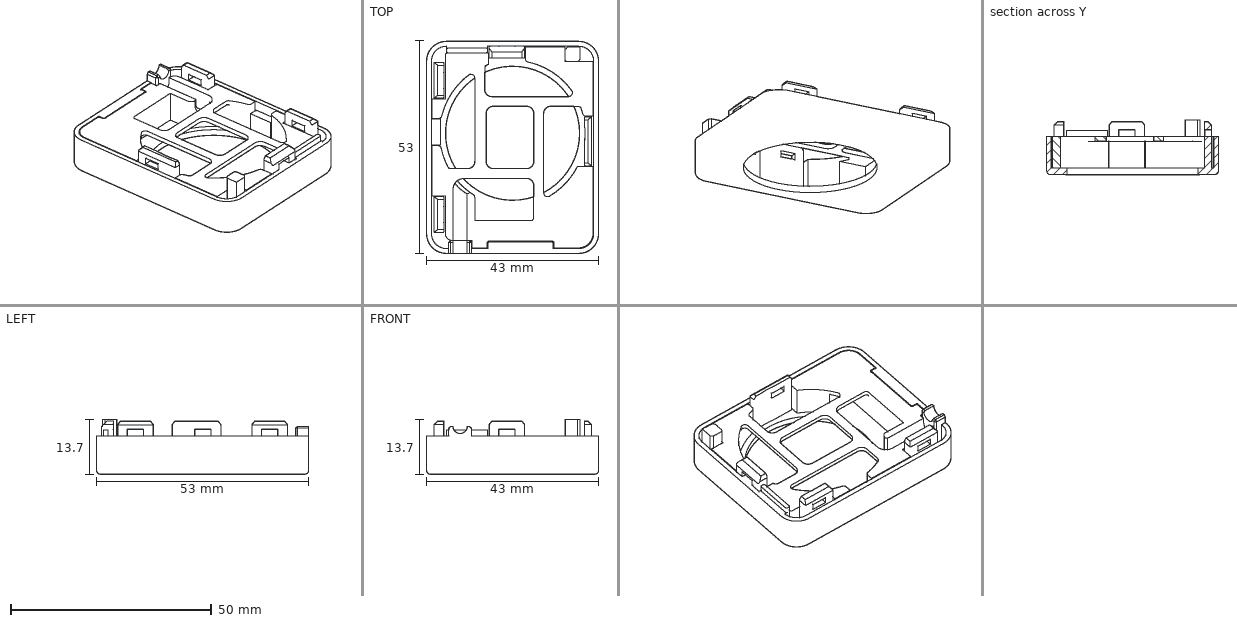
import cadquery as cq
import math

LENGTH_X = 43.0
LENGTH_Y = 53.0
RIM_Z = 9.57
WALL = 1.25
FLOOR_Z = 1.7
CORNER_RADIUS = 5.0
BOTTOM_ROUND = 1.0
HALF_X = LENGTH_X / 2
HALF_Y = LENGTH_Y / 2
CAVITY_HALF_X = HALF_X - WALL
CAVITY_HALF_Y = HALF_Y - WALL

CENTRE_Y = 3.53
HOLE_RADIUS = 16.7
POCKET_RADIUS = 18.2

TAB_TOP_Z = 13.3
TAB_LENGTH = 8.9
TAB_THICKNESS = 2.5
TAB_EDGE_ROUND = 0.25
TAB_BEVEL_OUT = 0.95
BACK_TAB_BEVEL_OUT = 1.4
TAB_BEVEL_END = 0.7
TAB_BEVEL_END_HEIGHT = 0.9
WINDOW_LENGTH = 4.0
WINDOW_TOP_Z = 11.2
SIDE_TAB_Y = 16.75
SIDE_TAB_INNER_X = -17.15
BACK_TAB_X = -1.43
BACK_TAB_INNER_Y = 22.27
RIGHT_TAB_INNER_X = 17.95
RIGHT_TAB_THICKNESS = 1.8
RIGHT_TAB_Y_MIN = -4.6
RIGHT_TAB_Y_MAX = 7.6
RIGHT_WINDOW_Y = -0.1
TAB_SCOOP_RADIUS = 18.08

BACK_RIB_X_MIN = -16.5
BACK_RIB_X_MAX = -6.2
BACK_RIB_INNER_Y = 23.6
BACK_RIB_OUTER_Y = 24.78
BACK_RIB_TOP_Z = 11.1
BACK_RIB_ROUND = 0.4
FRONT_PAD_X_MIN = -6.15
FRONT_PAD_X_MAX = 10.15
FRONT_PAD_DEPTH = 2.9
FRONT_PAD_ROUND = 0.4
LEFT_PAD_Y_MIN = 0.6
LEFT_PAD_Y_MAX = 7.05
LEFT_PAD_INNER_X = -18.05
LEFT_PAD_TOP_Z = 7.0
CABLE_X = -13.1
CABLE_RADIUS = 1.76
BLOCK_WIDTH = 5.7
BLOCK_DEPTH = 3.25
BLOCK_TOP_Z = 11.95
BLOCK_BEVEL = 0.45

PIN_X_MIN = 13.1
PIN_X_MAX = 16.85
PIN_FRONT_Y = 21.4
PIN_TOP_Z = 13.68
PIN_BACK_Y = 25.0
PIN_ROUND = 0.6

GAP = 0.18
GRID_THICKNESS = 1.2
BAR_LEFT = (-9.44, -6.57)
BAR_RIGHT = (5.27, 7.78)
BAR_BACK = (10.23, 12.70)
BAR_FRONT = (-7.77, -5.26)
BACK_OPENING_X = -6.93
FRONT_OPENING_Y = -18.3
GRID_ROUND = 1.75
TIP_ROUND = 0.95
SLOT_ROUND = 0.8
CORNER_CUT_X = -16.8
FRONT_CORNER_ROUND = 1.8
CHANNEL_WALL_HEIGHT = 1.5
CHANNEL_AXIS_Z = RIM_Z - CHANNEL_WALL_HEIGHT
CHANNEL_END_ROUND = 2.7
CHANNEL_BEVEL = 0.9
FRONT_POCKET_X = 11.0
CORNER_CUT_ROUND = 0.6
MID_Z = (FLOOR_Z + RIM_Z) / 2


def box(x_min, x_max, y_min, y_max, z_min, z_max):
    """Box given by its two limits along each axis."""
    block = cq.Workplane("XY").box(x_max - x_min, y_max - y_min, z_max - z_min, centered=False)
    return block.translate((x_min, y_min, z_min))


def pocket_cylinder(radius, z_min, z_max):
    """Upright cylinder on the axis of the round pocket."""
    return cq.Workplane("XY", origin=(0, CENTRE_Y, z_min)).circle(radius).extrude(z_max - z_min)


def round_upright(body, x, y, radius):
    """Round the upright edge that is nearest to (x, y)."""
    nearest = cq.selectors.NearestToPointSelector((x, y, MID_Z))
    return body.edges("|Z").edges(nearest).fillet(radius)


def pocket_y(x):
    """Distance from the pocket axis, along Y, of the pocket wall at x."""
    return math.sqrt(POCKET_RADIUS**2 - x**2)


def pocket_x(y):
    """Distance from the pocket axis, along X, of the pocket wall at y."""
    return math.sqrt(POCKET_RADIUS**2 - (y - CENTRE_Y) ** 2)


def make_tab(length, thickness, bevel_out, window_offset):
    """Tab along X, centred on X = 0, with its inner face at Y = 0 and its 45 degree bevel at +Y."""
    half = length / 2
    side = cq.Workplane("YZ", origin=(-half, 0, 0)).polyline([
        (0, FLOOR_Z),
        (thickness, FLOOR_Z),
        (thickness, TAB_TOP_Z - bevel_out),
        (thickness - bevel_out, TAB_TOP_Z),
        (0, TAB_TOP_Z),
    ]).close().extrude(length)
    face = cq.Workplane("XZ").polyline([
        (-half, FLOOR_Z),
        (half, FLOOR_Z),
        (half, TAB_TOP_Z - TAB_BEVEL_END_HEIGHT),
        (half - TAB_BEVEL_END, TAB_TOP_Z),
        (-half + TAB_BEVEL_END, TAB_TOP_Z),
        (-half, TAB_TOP_Z - TAB_BEVEL_END_HEIGHT),
    ]).close().extrude(-thickness)
    window = box(
        window_offset - WINDOW_LENGTH / 2, window_offset + WINDOW_LENGTH / 2,
        0, thickness, RIM_Z, WINDOW_TOP_Z,
    )
    wall = box(-half, half, 0, thickness, FLOOR_Z, TAB_TOP_Z).edges("|Z").fillet(TAB_EDGE_ROUND)
    return wall.intersect(side).intersect(face).cut(window)


def make_tabs():
    """Two tabs on the left, one at the back and one on the right that is hollowed along the round pocket."""
    side_tab = make_tab(TAB_LENGTH, TAB_THICKNESS, TAB_BEVEL_OUT, 0).rotate((0, 0, 0), (0, 0, 1), 90)
    tabs = [side_tab.translate((SIDE_TAB_INNER_X, y, 0)) for y in (-SIDE_TAB_Y, SIDE_TAB_Y)]
    back_tab = make_tab(TAB_LENGTH, CAVITY_HALF_Y - BACK_TAB_INNER_Y, BACK_TAB_BEVEL_OUT, 0)
    tabs.append(back_tab.translate((BACK_TAB_X, BACK_TAB_INNER_Y, 0)))
    right_y = (RIGHT_TAB_Y_MIN + RIGHT_TAB_Y_MAX) / 2
    right_length = RIGHT_TAB_Y_MAX - RIGHT_TAB_Y_MIN
    right_tab = make_tab(right_length, RIGHT_TAB_THICKNESS, TAB_BEVEL_OUT, right_y - RIGHT_WINDOW_Y)
    right_tab = right_tab.rotate((0, 0, 0), (0, 0, 1), -90).translate((RIGHT_TAB_INNER_X, right_y, 0))
    tabs.append(right_tab.cut(pocket_cylinder(TAB_SCOOP_RADIUS, FLOOR_Z, TAB_TOP_Z)))
    return tabs


def make_cable_block():
    """Block on the front wall with bevelled edges and a half-round groove along Y in its top."""
    front_y = -HALF_Y
    block = box(
        CABLE_X - BLOCK_WIDTH / 2, CABLE_X + BLOCK_WIDTH / 2,
        front_y, front_y + BLOCK_DEPTH, FLOOR_Z, BLOCK_TOP_Z,
    )
    block = block.edges("(|Y and >Z) or (|X and >Y and >Z) or (|Z and >Y)").chamfer(BLOCK_BEVEL)
    groove = cq.Workplane("XZ", origin=(CABLE_X, front_y, BLOCK_TOP_Z)).circle(CABLE_RADIUS)
    return block.cut(groove.extrude(-BLOCK_DEPTH))


def make_housing():
    shell = cq.Workplane("XY").rect(LENGTH_X, LENGTH_Y).extrude(RIM_Z)
    shell = shell.edges("|Z").fillet(CORNER_RADIUS).faces("<Z").edges().fillet(BOTTOM_ROUND)
    cavity = cq.Workplane("XY", origin=(0, 0, FLOOR_Z)).rect(2 * CAVITY_HALF_X, 2 * CAVITY_HALF_Y)
    cavity = cavity.extrude(RIM_Z - FLOOR_Z).edges("|Z").fillet(CORNER_RADIUS - WALL)
    housing = shell.cut(cavity).cut(pocket_cylinder(HOLE_RADIUS, 0, FLOOR_Z))

    front_pad = box(
        FRONT_PAD_X_MIN, FRONT_PAD_X_MAX, -HALF_Y + WALL / 2, -HALF_Y + FRONT_PAD_DEPTH, FLOOR_Z, RIM_Z
    ).edges("|Z and >Y").fillet(FRONT_PAD_ROUND)
    left_pad = box(
        -HALF_X + WALL / 2, LEFT_PAD_INNER_X, LEFT_PAD_Y_MIN, LEFT_PAD_Y_MAX, FLOOR_Z, LEFT_PAD_TOP_Z
    )
    back_rib = box(
        BACK_RIB_X_MIN, BACK_RIB_X_MAX, BACK_RIB_INNER_Y, BACK_RIB_OUTER_Y, FLOOR_Z, BACK_RIB_TOP_Z
    ).edges("|Z").fillet(BACK_RIB_ROUND)
    back_pad_y = BACK_RIB_OUTER_Y - BACK_RIB_ROUND
    back_pad = box(BACK_RIB_X_MIN, BACK_RIB_X_MAX, back_pad_y, HALF_Y - WALL / 2, FLOOR_Z, RIM_Z)
    for feature in (front_pad, left_pad, back_rib, back_pad, make_cable_block(), *make_tabs()):
        housing = housing.union(feature)
    return housing


def make_pin():
    """Upright pin in the back right corner, with one rounded and two bevelled edges."""
    pin = box(PIN_X_MIN, PIN_X_MAX, PIN_FRONT_Y, PIN_BACK_Y, FLOOR_Z, PIN_TOP_Z)
    pin = round_upright(pin, PIN_X_MIN, PIN_FRONT_Y, PIN_ROUND)
    for x, y in ((PIN_X_MAX, PIN_FRONT_Y), (PIN_X_MIN, PIN_BACK_Y)):
        nearest = cq.selectors.NearestToPointSelector((x, y, (FLOOR_Z + PIN_TOP_Z) / 2))
        pin = pin.edges("|Z").edges(nearest).chamfer(PIN_ROUND)
    return pin


def opening_part(x_min, x_max, y_min, y_max):
    """Upright block limited by the round pocket."""
    return box(x_min, x_max, y_min, y_max, FLOOR_Z, RIM_Z).intersect(
        pocket_cylinder(POCKET_RADIUS, FLOOR_Z, RIM_Z)
    )


def slot(x_min, x_max, y_min, y_max):
    """Upright block through the whole height of the insert."""
    return box(x_min, x_max, y_min, y_max, FLOOR_Z, RIM_Z)


def make_centre_opening():
    opening = slot(BAR_LEFT[1], BAR_RIGHT[0], BAR_FRONT[1], BAR_BACK[0])
    return opening.edges("|Z").fillet(GRID_ROUND)


def make_left_opening():
    x_max = BAR_LEFT[0]
    y_min = BAR_FRONT[1]
    opening = opening_part(-HALF_X, x_max, y_min, HALF_Y)
    opening = round_upright(opening, x_max, y_min, GRID_ROUND)
    opening = round_upright(opening, x_max, CENTRE_Y + pocket_y(x_max), TIP_ROUND)
    opening = round_upright(opening, -pocket_x(y_min), y_min, TIP_ROUND)
    slot_ends = (LEFT_PAD_Y_MIN - GAP, LEFT_PAD_Y_MAX + GAP)
    opening = opening.union(slot(-HALF_X, x_max - GRID_ROUND, *slot_ends))
    for y in slot_ends:
        opening = round_upright(opening, -pocket_x(y), y, SLOT_ROUND)
    return opening


def make_back_opening():
    x_min = BACK_OPENING_X
    y_min = BAR_BACK[1]
    opening = opening_part(x_min, HALF_X, y_min, HALF_Y)
    opening = round_upright(opening, x_min, y_min, GRID_ROUND)
    opening = round_upright(opening, x_min, CENTRE_Y + pocket_y(x_min), TIP_ROUND)
    opening = round_upright(opening, pocket_x(y_min), y_min, TIP_ROUND)
    slot_x_min = BACK_TAB_X - TAB_LENGTH / 2 - GAP
    slot_x_max = BACK_TAB_X + TAB_LENGTH / 2 + GAP
    opening = opening.union(slot(slot_x_min, slot_x_max, y_min + GRID_ROUND, HALF_Y))
    return round_upright(opening, slot_x_max, CENTRE_Y + pocket_y(slot_x_max), SLOT_ROUND)


def make_right_opening():
    x_min = BAR_RIGHT[1]
    y_max = BAR_BACK[0]
    opening = opening_part(x_min, HALF_X, -HALF_Y, y_max)
    opening = round_upright(opening, x_min, y_max, GRID_ROUND)
    opening = round_upright(opening, x_min, CENTRE_Y - pocket_y(x_min), TIP_ROUND)
    opening = round_upright(opening, pocket_x(y_max), y_max, TIP_ROUND)
    slot_y_min = RIGHT_TAB_Y_MIN - GAP
    slot_y_max = RIGHT_TAB_Y_MAX + GAP
    opening = opening.union(slot(x_min + GRID_ROUND, HALF_X, slot_y_min, slot_y_max))
    return round_upright(opening, pocket_x(slot_y_max), slot_y_max, SLOT_ROUND)


def make_channel_mask():
    """Space right of the channel and in front of the grid, with a rounded outer corner."""
    x_min = CABLE_X - CABLE_RADIUS
    mask = slot(x_min, HALF_X, -HALF_Y, BAR_FRONT[0])
    return round_upright(mask, x_min, BAR_FRONT[0], CHANNEL_END_ROUND)


def make_front_opening():
    x_min = BAR_LEFT[0]
    x_max = BAR_RIGHT[0]
    y_max = BAR_FRONT[0]
    opening = opening_part(-HALF_X, x_max, -HALF_Y, y_max)
    opening = round_upright(opening, x_max, y_max, GRID_ROUND)
    lower = slot(x_min, x_max, FRONT_OPENING_Y, y_max - GRID_ROUND)
    opening = opening.union(round_upright(lower, x_max, FRONT_OPENING_Y, SLOT_ROUND))
    opening = round_upright(opening, x_min, CENTRE_Y - pocket_y(x_min), SLOT_ROUND)
    return opening.intersect(make_channel_mask())


def make_front_pocket():
    """Space under the grid that widens the front opening to the right."""
    top_z = RIM_Z - GRID_THICKNESS
    return box(BAR_RIGHT[0] - SLOT_ROUND, FRONT_POCKET_X, FRONT_OPENING_Y, BAR_FRONT[0], FLOOR_Z, top_z)


def make_cable_channel():
    """Round-bottomed channel along Y from the cable block to the pocket."""
    x_min = CABLE_X - CABLE_RADIUS
    x_max = CABLE_X + CABLE_RADIUS
    y_min = -HALF_Y
    y_max = BAR_FRONT[0]
    round_bottom = cq.Workplane("XZ", origin=(CABLE_X, y_min, CHANNEL_AXIS_Z)).circle(CABLE_RADIUS)
    profile = round_bottom.extrude(y_min - y_max)
    profile = profile.union(box(x_min, x_max, y_min, y_max, CHANNEL_AXIS_Z, RIM_Z))
    return profile.intersect(make_channel_mask())


def bevel_channel_end(insert):
    """Bevel the round bottom of the channel where it enters the pocket."""
    end_y = CENTRE_Y - pocket_y(CABLE_X)
    end_point = (CABLE_X, end_y, CHANNEL_AXIS_Z - CABLE_RADIUS)
    return insert.edges(cq.selectors.NearestToPointSelector(end_point)).chamfer(CHANNEL_BEVEL)


def make_edge_cuts():
    """Cut-outs around the insert for the tabs, the rib, the pin, the pad and the cable block."""
    tab_end = SIDE_TAB_Y - TAB_LENGTH / 2 - GAP
    block_back_y = -HALF_Y + BLOCK_DEPTH
    block_x_max = CABLE_X + BLOCK_WIDTH / 2
    front_left = slot(-HALF_X, CORNER_CUT_X, -HALF_Y, -tab_end).union(
        slot(-HALF_X, CABLE_X, -HALF_Y, block_back_y)
    )
    back_left = slot(-HALF_X, CORNER_CUT_X, tab_end, HALF_Y).union(
        slot(-HALF_X, BACK_TAB_X, BACK_RIB_INNER_Y, HALF_Y)
    )
    return [
        round_upright(back_left, CORNER_CUT_X, BACK_RIB_INNER_Y, CORNER_CUT_ROUND),
        slot(PIN_X_MIN, HALF_X, PIN_FRONT_Y, HALF_Y),
        round_upright(front_left, CORNER_CUT_X, block_back_y, FRONT_CORNER_ROUND),
        slot(CABLE_X, block_x_max + GAP, -HALF_Y, block_back_y),
        slot(
            FRONT_PAD_X_MIN - GAP, FRONT_PAD_X_MAX + GAP, -HALF_Y, -HALF_Y + FRONT_PAD_DEPTH + GAP
        ).edges("|Z and >Y").fillet(FRONT_PAD_ROUND),
    ]


def make_insert():
    half_x = CAVITY_HALF_X - GAP
    half_y = CAVITY_HALF_Y - GAP
    insert = slot(-half_x, half_x, -half_y, half_y).edges("|Z").fillet(CORNER_RADIUS - WALL - GAP)
    insert = insert.cut(pocket_cylinder(POCKET_RADIUS, FLOOR_Z, RIM_Z - GRID_THICKNESS))
    cuts = [
        make_centre_opening(), make_left_opening(), make_back_opening(), make_right_opening(),
        make_front_opening(), make_front_pocket(), make_cable_channel(), *make_edge_cuts(),
    ]
    for cutter in cuts:
        insert = insert.cut(cutter)
    return bevel_channel_end(insert)


housing = make_housing()
insert = make_insert()
pin = make_pin()

result = cq.Compound.makeCompound([housing.val(), insert.val(), pin.val()])